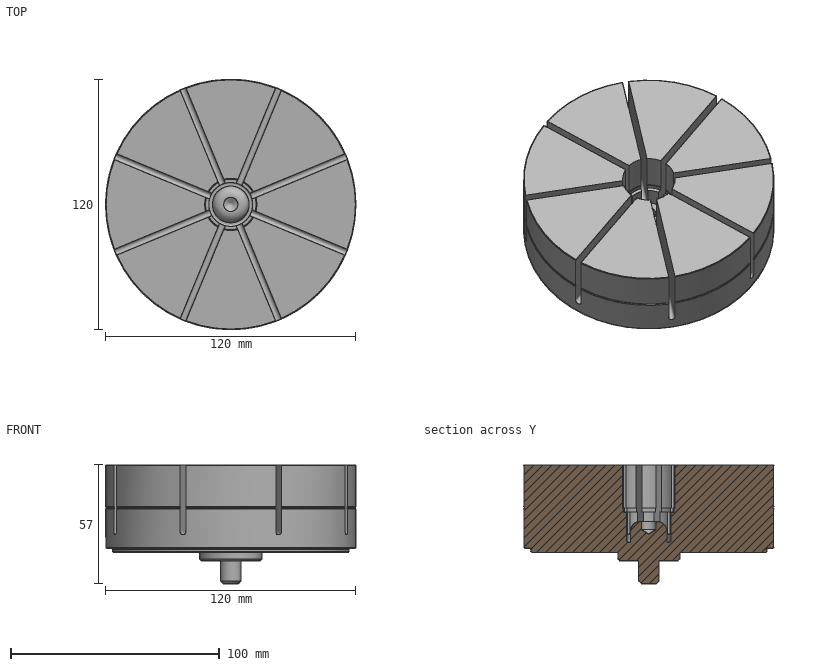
import cadquery as cq
import math

total_height = 57.0
pin_length = 11.0
boss_height = 4.0
plate_height = 2.0
body_height = 19.4
groove_height = 0.2
boss_bottom = pin_length
plate_bottom = boss_bottom + boss_height
body_bottom = plate_bottom + plate_height
body_top = body_bottom + body_height
jaw_bottom = body_top + groove_height

body_radius = 60.0
jaw_radius = body_radius
plate_radius = 56.75
boss_radius = 15.0
pin_radius = 5.0
body_bottom_chamfer = 0.5
groove_chamfer = 0.4
jaw_top_chamfer = 0.3
plate_chamfer = 0.6
boss_chamfer = 1.0
pin_chamfer = 1.5
groove_radius = body_radius - groove_chamfer

jaw_bore_radius = 12.5
recess_radius = 12.1
recess_depth = 2.0
pocket_radius = 10.5
pocket_fillet = 0.8
pocket_floor = body_bottom + 3.0

stud_radius = 8.8
stud_height = 10.0
stud_top = pocket_floor + stud_height
crown_fillet = 4.7
stud_hole_radius = 3.4
stud_hole_depth = 4.0
drill_point_angle = 118.0

slot_count = 8
slot_width = 3.0
slot_depth = 33.4
slot_floor = total_height - slot_depth


def disc(radius, bottom, top, top_chamfer=0.0, bottom_chamfer=0.0):
    """Cylinder about Z with optional 45 degree edge chamfers."""
    solid = cq.Workplane("XY").workplane(offset=bottom).circle(radius).extrude(top - bottom)
    if top_chamfer:
        solid = solid.faces(">Z").chamfer(top_chamfer)
    if bottom_chamfer:
        solid = solid.faces("<Z").chamfer(bottom_chamfer)
    return solid


def outer_shape():
    """Pin, boss, locating plate, body and jaw ring stacked along Z."""
    pin = disc(pin_radius, 0, boss_bottom, bottom_chamfer=pin_chamfer)
    boss = disc(boss_radius, boss_bottom, plate_bottom, bottom_chamfer=boss_chamfer)
    plate = disc(plate_radius, plate_bottom, body_bottom, plate_chamfer, plate_chamfer)
    body = disc(body_radius, body_bottom, body_top, groove_chamfer, body_bottom_chamfer)
    groove_core = disc(groove_radius, body_top, jaw_bottom)
    jaws = disc(jaw_radius, jaw_bottom, total_height, jaw_top_chamfer, groove_chamfer)
    return pin.union(boss).union(plate).union(body).union(groove_core).union(jaws)


def central_opening():
    """Bore through the jaws, a shallow recess below it and a round-cornered pocket."""
    jaw_bore = disc(jaw_bore_radius, body_top, total_height)
    recess = disc(recess_radius, body_top - recess_depth, body_top)
    pocket = disc(pocket_radius, pocket_floor, body_top).faces("<Z").edges().fillet(pocket_fillet)
    return jaw_bore.union(recess).union(pocket)


def radial_slots():
    """Slots set half a pitch off the X axis, each with a half-round floor."""
    half_width = slot_width / 2
    arc_center = slot_floor + half_width
    profile = (
        cq.Workplane("YZ")
        .moveTo(-half_width, total_height)
        .lineTo(-half_width, arc_center)
        .threePointArc((0, slot_floor), (half_width, arc_center))
        .lineTo(half_width, total_height)
        .close()
    )
    slot = profile.extrude(body_radius)
    pitch = 360 / slot_count
    slots = cq.Workplane("XY")
    for index in range(slot_count):
        slots = slots.add(slot.rotate((0, 0, 0), (0, 0, 1), (index + 0.5) * pitch))
    return slots.combine()


def domed_stud():
    """Stud with a rounded crown and a blind drilled hole on the axis."""
    crown_base = stud_top - crown_fillet
    crown_flat = stud_radius - crown_fillet
    diagonal = crown_fillet * math.sqrt(0.5)
    hole_bottom = stud_top - stud_hole_depth
    drill_point_depth = stud_hole_radius / math.tan(math.radians(drill_point_angle / 2))
    return (
        cq.Workplane("YZ")
        .moveTo(0, body_bottom)
        .lineTo(stud_radius, body_bottom)
        .lineTo(stud_radius, crown_base)
        .threePointArc((crown_flat + diagonal, crown_base + diagonal), (crown_flat, stud_top))
        .lineTo(stud_hole_radius, stud_top)
        .lineTo(stud_hole_radius, hole_bottom)
        .lineTo(0, hole_bottom - drill_point_depth)
        .close()
        .revolve(360, (0, 0, 0), (0, 1, 0))
    )


result = outer_shape().cut(central_opening()).cut(radial_slots()).union(domed_stud())